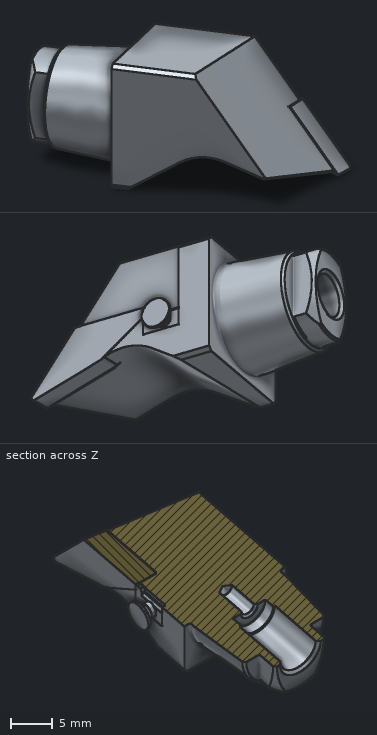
import cadquery as cq
import math


total_length = 37.5
block_size = 16.0
block_chamfer = 0.52
half = block_size / 2

shank_length = 12.45
boss_length = 2.95
boss_diameter = 11.7
boss_end_chamfer = 0.22
boss_root_radius = 0.15
across_flats = 8.02
nose_cone_radius = 10.5
nose_cone_reach = 3.67
taper_small_diameter = 12.8
taper_large_diameter = 14.17
taper_chamfer = 0.35
collar_length = 1.0
collar_flare = 0.22

bore_diameter = 5.5
bore_mouth_diameter = 6.37
bore_depth = 8.25
inner_bore_diameter = 5.02
inner_bore_depth = 9.75
coolant_diameter = 1.95
coolant_mouth_diameter = 2.62
coolant_depth = 14.25
drill_point_angle = 118.0

throat_radius = 7.0
front_side = {
    "heel_x": 1.8,
    "throat": (11.6, -1.75),
    "tip_low": (19.72, -4.3),
    "tip_high": (19.9, -4.15),
    "top_x": 10.57,
}
back_side = {
    "heel_x": 4.3,
    "throat": (11.02, -3.55),
    "tip_low": (24.9, -8.05),
    "tip_high": (25.15, -7.75),
    "top_x": 13.0,
}

insert_thickness = 3.2
insert_relief_angle = 7.0
insert_nose_radius = 0.4
upper_edge_angle = 52.4
lower_edge_angle = 17.4
insert_top_z = 0.5
insert_back_x = 9.3
insert_back_height = 1.35
insert_heel_x = 15.22
insert_corner_radius = 0.35
tip_clearance_length = 3.0

clamp_left_x = 4.3
clamp_nose_radius = 1.12
clamp_chamfer = 0.37
clamp_thickness = block_chamfer

screw_x = 6.45
screw_z = -1.95
screw_head_diameter = 3.85
screw_neck_diameter = 2.05
screw_rise = 1.95
screw_rim = 0.37
screw_depth = 4.5

shank_end_x = -shank_length
boss_root_x = shank_end_x + boss_length
tip_x = total_length - shank_length
nose_center = (tip_x - insert_nose_radius, insert_nose_radius - half)
insert_seat_y = half - insert_thickness
clamp_top_z = insert_top_z - clamp_nose_radius
clamp_bottom_z = 2 * screw_z - clamp_top_z


def xz_plane(y):
    """Sketch plane at height y whose local axes are X and Z and whose normal is -Y."""
    return cq.Workplane("XZ", origin=(0, y, 0))


def toward(start, end, distance):
    """Point at a distance from start on the way to end."""
    length = math.dist(start, end)
    return tuple(a + (b - a) * distance / length for a, b in zip(start, end))


def rounded_corner(before, corner, after, radius):
    """Start, middle and end of the arc that rounds a corner."""
    angle_before = math.atan2(before[1] - corner[1], before[0] - corner[0])
    angle_after = math.atan2(after[1] - corner[1], after[0] - corner[0])
    half_angle = math.acos(math.cos(angle_before - angle_after)) / 2
    tangent = radius / math.tan(half_angle)
    start = toward(corner, before, tangent)
    end = toward(corner, after, tangent)
    chord_middle = tuple((a + b) / 2 for a, b in zip(start, end))
    middle = toward(corner, chord_middle, radius / math.sin(half_angle) - radius)
    return start, middle, end


def block_profile(sketch, side):
    """Closed side profile of the block: heel, throat, blunt tip and sloping front."""
    heel = (side["heel_x"], -half)
    arc_start, arc_middle, arc_end = rounded_corner(heel, side["throat"], side["tip_low"], throat_radius)
    return (
        sketch.moveTo(0, -half)
        .lineTo(*heel)
        .lineTo(*arc_start)
        .threePointArc(arc_middle, arc_end)
        .lineTo(*side["tip_low"])
        .lineTo(*side["tip_high"])
        .lineTo(side["top_x"], half)
        .lineTo(0, half)
        .close()
    )


def make_block():
    """Block whose front and underside lean outward from -Y to +Y, with chamfered long edges."""
    sketch = block_profile(xz_plane(half), back_side).workplane(offset=block_size)
    leaning = block_profile(sketch, front_side).loft(ruled=True)
    bar = (
        cq.Workplane("YZ")
        .rect(block_size, block_size)
        .extrude(total_length)
        .edges("|X")
        .chamfer(block_chamfer)
    )
    return leaning.intersect(bar)


def make_boss():
    """Round end boss with two flats and two conical end bevels."""
    radius = boss_diameter / 2
    boss = (
        cq.Workplane("XY")
        .moveTo(shank_end_x, 0)
        .lineTo(shank_end_x, radius - boss_end_chamfer)
        .lineTo(shank_end_x + boss_end_chamfer, radius)
        .lineTo(boss_root_x - boss_root_radius, radius)
        .radiusArc((boss_root_x, radius + boss_root_radius), -boss_root_radius)
        .lineTo(boss_root_x, 0)
        .close()
        .revolve(360, (0, 0), (1, 0))
    )
    for side in (-1, 1):
        flat_cutter = (
            cq.Workplane("XY")
            .box(boss_length, boss_diameter, 2 * boss_diameter)
            .edges(">X and |Z")
            .fillet(boss_root_radius)
            .translate((boss_root_x - boss_length / 2, side * (across_flats + boss_diameter) / 2, 0))
        )
        bevel_cone = cq.Workplane(cq.Solid.makeCone(
            nose_cone_radius,
            nose_cone_radius + boss_length,
            boss_length,
            cq.Vector(shank_end_x, side * (nose_cone_reach - nose_cone_radius), 0),
            cq.Vector(1, 0, 0),
        ))
        boss = boss.cut(flat_cutter).intersect(bevel_cone)
    return boss


def make_taper():
    """Tapered shank with a short collar that flares into the block."""
    small = taper_small_diameter / 2
    large = taper_large_diameter / 2
    return (
        cq.Workplane("XY")
        .moveTo(boss_root_x, 0)
        .lineTo(boss_root_x, small - taper_chamfer)
        .lineTo(boss_root_x + taper_chamfer, small)
        .lineTo(-collar_length, large)
        .lineTo(-collar_flare, large)
        .radiusArc((0, large + collar_flare), -collar_flare)
        .lineTo(0, 0)
        .close()
        .revolve(360, (0, 0), (1, 0))
    )


def make_bore():
    """Stepped blind bore from the shank end, with a countersunk, drill-pointed coolant hole at its floor."""
    mouth = bore_mouth_diameter / 2
    bore = bore_diameter / 2
    inner = inner_bore_diameter / 2
    coolant_mouth = coolant_mouth_diameter / 2
    coolant = coolant_diameter / 2
    bore_floor_x = shank_end_x + bore_depth
    inner_floor_x = shank_end_x + inner_bore_depth
    coolant_floor_x = shank_end_x + coolant_depth
    drill_point_length = coolant / math.tan(math.radians(drill_point_angle / 2))
    return (
        cq.Workplane("XY")
        .moveTo(shank_end_x, 0)
        .lineTo(shank_end_x, mouth)
        .lineTo(shank_end_x + mouth - bore, bore)
        .lineTo(bore_floor_x, bore)
        .lineTo(bore_floor_x, inner)
        .lineTo(inner_floor_x, inner)
        .lineTo(inner_floor_x, coolant_mouth)
        .lineTo(inner_floor_x + coolant_mouth - coolant, coolant)
        .lineTo(coolant_floor_x, coolant)
        .lineTo(coolant_floor_x + drill_point_length, 0)
        .close()
        .revolve(360, (0, 0), (1, 0))
    )


def box_between(low, high):
    """Box from its lowest to its highest corner."""
    sizes = [b - a for a, b in zip(low, high)]
    return cq.Workplane("XY").box(*sizes, centered=False).translate(low)


def make_holder(insert, screw):
    """Block and shank, with seats for the insert, the clamp and the screw."""
    recess_floor_y = half - clamp_thickness
    clamp_seat = box_between(
        (clamp_left_x, recess_floor_y, clamp_bottom_z),
        (insert_back_x, half, half),
    )
    insert_headroom = box_between(
        (insert_back_x, recess_floor_y, insert_top_z - insert_corner_radius),
        (tip_x, half, half),
    )
    tip_clearance = box_between(
        (tip_x - tip_clearance_length, insert_seat_y, -half),
        (total_length, half, half),
    )
    holder = make_block().union(make_taper()).union(make_boss()).cut(make_bore())
    for cutter in (clamp_seat, insert_headroom, tip_clearance, insert, screw):
        holder = holder.cut(cutter)
    return holder.solids()


def insert_profile(sketch, nose_radius):
    """Insert outline; a smaller nose radius moves both cutting edges inward."""
    upper = math.radians(upper_edge_angle)
    lower = math.radians(lower_edge_angle)
    center_x, center_z = nose_center

    def on_nose(angle):
        return (center_x + nose_radius * math.cos(angle), center_z + nose_radius * math.sin(angle))

    upper_normal = math.pi / 2 - upper
    lower_normal = -math.pi / 2 - lower
    nose_top = on_nose(upper_normal)
    nose_middle = on_nose((upper_normal + lower_normal) / 2)
    nose_bottom = on_nose(lower_normal)
    shoulder_x = nose_top[0] - (insert_top_z - nose_top[1]) / math.tan(upper)
    heel_z = nose_bottom[1] + (nose_bottom[0] - insert_heel_x) * math.tan(lower)
    return (
        sketch.moveTo(*nose_top)
        .threePointArc(nose_middle, nose_bottom)
        .lineTo(insert_heel_x, heel_z)
        .lineTo(insert_back_x, insert_top_z - insert_back_height)
        .lineTo(insert_back_x, insert_top_z - insert_corner_radius)
        .radiusArc((insert_back_x + insert_corner_radius, insert_top_z), insert_corner_radius)
        .lineTo(shoulder_x, insert_top_z)
        .close()
    )


def make_insert():
    """Insert flush with the +Y side, its cutting edges relieved towards the seat."""
    relief = insert_thickness * math.tan(math.radians(insert_relief_angle))
    sketch = insert_profile(xz_plane(half), insert_nose_radius).workplane(offset=insert_thickness)
    return insert_profile(sketch, insert_nose_radius - relief).loft(ruled=True)


def make_clamp(screw):
    """Plate under the screw with a rounded nose that bears on the back of the insert."""
    nose_start_x = insert_back_x - clamp_nose_radius
    plate = (
        xz_plane(half)
        .moveTo(clamp_left_x, clamp_bottom_z)
        .lineTo(insert_back_x, clamp_bottom_z)
        .lineTo(insert_back_x, insert_top_z)
        .radiusArc((nose_start_x, clamp_top_z), -clamp_nose_radius)
        .lineTo(clamp_left_x, clamp_top_z)
        .close()
        .extrude(clamp_thickness)
    )
    bevel = (
        cq.Workplane("YZ", origin=(clamp_left_x, half, clamp_top_z))
        .polyline([(0, 0), (-clamp_chamfer, 0), (0, -clamp_chamfer)])
        .close()
        .extrude(nose_start_x - clamp_left_x)
    )
    return plate.cut(bevel).cut(screw).solids()


def make_screw():
    """Countersunk screw along Y, its head standing clear of the block."""
    head = screw_head_diameter / 2
    neck = screw_neck_diameter / 2
    face_y = half + screw_rise
    rim_y = face_y - screw_rim
    neck_y = rim_y - (head - neck)
    end_y = half - screw_depth
    return (
        cq.Workplane("XY")
        .polyline([(0, end_y), (neck, end_y), (neck, neck_y), (head, rim_y), (head, face_y), (0, face_y)])
        .close()
        .revolve(360, (0, 0), (0, 1))
        .translate((screw_x, 0, screw_z))
    )


screw = make_screw()
clamp = make_clamp(screw)
insert = make_insert()
holder = make_holder(insert, screw)

result = cq.Compound.makeCompound([holder.val(), insert.val(), clamp.val(), screw.val()])